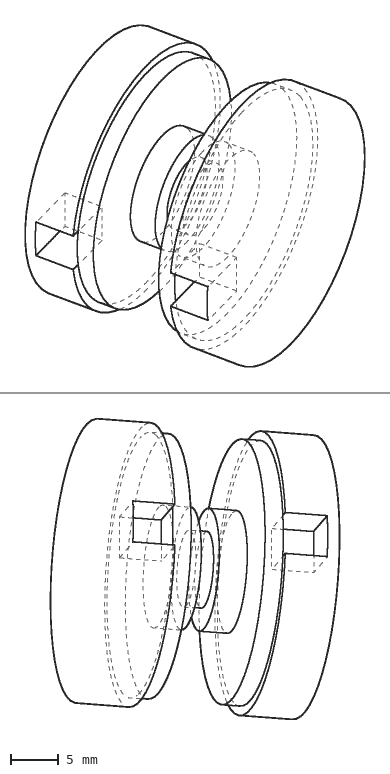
import cadquery as cq

overall_length = 23.8
cap_diameter = 30.0
cap_edge_fillet = 0.2
flange_diameter = 28.02
flange_thickness = 1.98
hub_diameter = 12.95
hub_length = 3.03
spindle_diameter = 8.1
spindle_length = 1.95
slot_length = 4.55
slot_height = 4.5
slot_depth = 6.0

hub_start = spindle_length / 2
flange_start = hub_start + hub_length
cap_start = flange_start + flange_thickness
cap_thickness = overall_length / 2 - cap_start


def cylinder(start_x, length, diameter):
    """Cylinder along +X whose first face lies at start_x."""
    return cq.Workplane("YZ").workplane(offset=start_x).circle(diameter / 2).extrude(length)


def make_cap():
    """Outer disc on the +X side with a rounded outer edge and a slot in its -Y rim."""
    cap = cylinder(cap_start, cap_thickness, cap_diameter)
    cap = cap.faces(">X").edges().fillet(cap_edge_fillet)
    slot = cq.Workplane("XY").box(
        slot_length, slot_depth, slot_height, centered=(False, False, True)
    )
    slot = slot.translate((cap_start, -cap_diameter / 2, 0))
    return cap.cut(slot)


def make_flanged_hub():
    """Hub on the +X side, stepped out to a flange that seats on the cap."""
    hub = cylinder(hub_start, hub_length, hub_diameter)
    flange = cylinder(flange_start, flange_thickness, flange_diameter)
    return hub.union(flange)


def make_spindle():
    """Short pin that spans the gap between the two hubs."""
    return cylinder(-spindle_length / 2, spindle_length, spindle_diameter)


caps = []
flanged_hubs = []
for on_negative_side in (False, True):
    cap = make_cap()
    flanged_hub = make_flanged_hub()
    if on_negative_side:
        cap = cap.mirror("YZ")
        flanged_hub = flanged_hub.mirror("YZ")
    caps.append(cap.val())
    flanged_hubs.append(flanged_hub.val())

spindle = make_spindle()

result = cq.Compound.makeCompound([*caps, *flanged_hubs, spindle.val()])